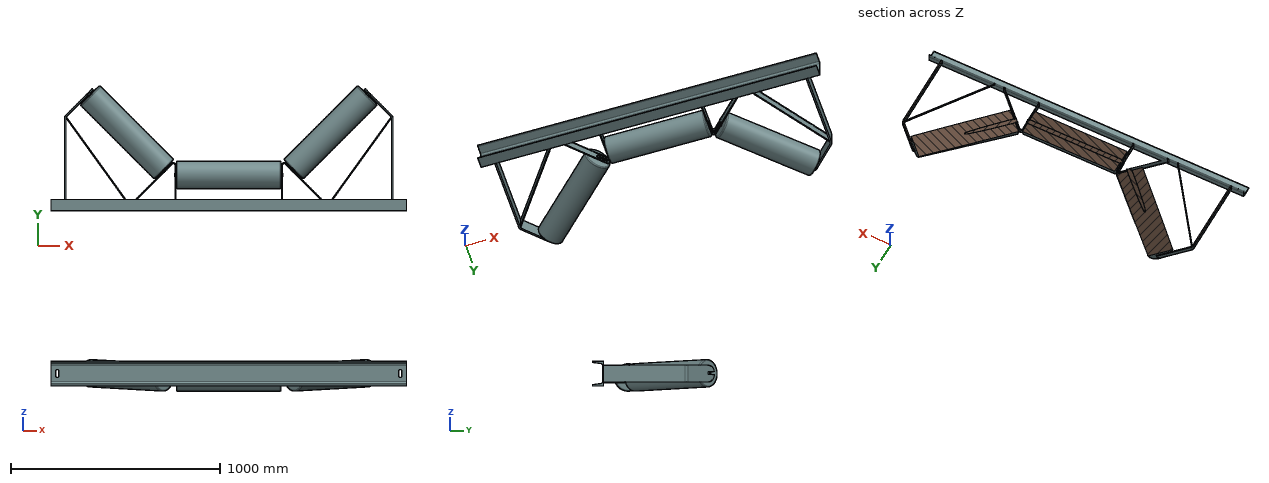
import cadquery as cq
import math

BEAM_LENGTH = 1700.0
BEAM_HEIGHT = 119.0
BEAM_DEPTH = 55.0
WEB_THICKNESS = 5.0
FLANGE_ROOT_THICKNESS = 14.0
FLANGE_TIP_THICKNESS = 7.0
FLANGE_TIP_RADIUS = 3.0
BEAM_FILLET = 8.0
MOUNTING_SLOT_WIDTH = 14.0
MOUNTING_SLOT_HEIGHT = 37.0
MOUNTING_SLOT_X = 820.0

ROLLER_DIAMETER = 133.0
ROLLER_LENGTH = 500.0
ROLLER_EDGE_RADIUS = 5.0
SHAFT_DIAMETER = 20.0
SHAFT_FLATS = 14.0
CENTER_ROLLER_Y = 117.0
CENTER_ROLLER_Z = -19.0
CENTER_SHAFT_OVERHANG = 8.0
WING_ROLLER_X = 486.0
WING_ROLLER_Y = 321.0
WING_ROLLER_Z = -8.0
WING_SHAFT_OVERHANG = 12.0
TROUGH_ANGLE = 45.0
FORWARD_TILT = 2.3

OUTER_HEIGHT = 80.0
OUTER_THICKNESS = 8.0
OUTER_FACE_X = 785.0
OUTER_BEND_Y = 395.0
OUTER_BEND_RADIUS = 20.0
OUTER_LEG_LENGTH = 187.0
TIP_RADIUS = 39.0

INNER_THICKNESS = 5.0
INNER_HEIGHT = 51.0
INNER_LEG_X = 255.0
INNER_BEND_Y = 187.0
INNER_BEND_RADIUS = 12.0

BRACE_THICKNESS = 5.0
BRACE_HEIGHT = 51.0
BRACE_TOP = (779.0, 395.0)
BRACE_FOOT_X = 493.0

WELD_Y = -WEB_THICKNESS / 2
SIDES = (-1, 1)


def strip(start, end, thickness, height):
    """Straight upright plate whose centre line runs from start to end in plan."""
    run = cq.Vector(end[0] - start[0], end[1] - start[1], 0)
    middle = ((start[0] + end[0]) / 2, (start[1] + end[1]) / 2, 0)
    plane = cq.Plane(origin=middle, xDir=run, normal=(0, 0, 1))
    return cq.Workplane(plane).box(run.Length, thickness, height)


def bent_plate(foot, bend, tip, thickness, height, outside_radius):
    """Plate folded once; foot, bend and tip are points of its centre line in plan."""
    foot, bend, tip = (cq.Vector(*point) for point in (foot, bend, tip))
    first = (bend - foot).normalized()
    second = (tip - bend).normalized()
    up = cq.Vector(0, 0, 1)
    first_offset = up.cross(first) * (thickness / 2)
    second_offset = up.cross(second) * (thickness / 2)
    miter_sum = first_offset + second_offset
    miter = miter_sum * (thickness**2 / 2 / miter_sum.dot(miter_sum))
    outline = [
        foot + first_offset,
        bend + miter,
        tip + second_offset,
        tip - second_offset,
        bend - miter,
        foot - first_offset,
    ]
    plate = cq.Workplane("XY").polyline([(p.x, p.y) for p in outline]).close()
    plate = plate.extrude(height / 2, both=True)
    turns_left = first.cross(second).z > 0
    inside = bend + miter if turns_left else bend - miter
    outside = bend - miter if turns_left else bend + miter
    plate = plate.edges(cq.selectors.NearestToPointSelector(inside.toTuple()))
    plate = plate.fillet(outside_radius - thickness)
    plate = plate.edges(cq.selectors.NearestToPointSelector(outside.toTuple()))
    return plate.fillet(outside_radius)


def wing_plane(side):
    """Plane at the middle of a wing roller, with its normal along the axis toward the outer end."""
    trough = math.radians(TROUGH_ANGLE)
    tilt = math.radians(FORWARD_TILT)
    axis = (
        side * math.cos(trough) * math.cos(tilt),
        math.sin(trough) * math.cos(tilt),
        math.sin(tilt),
    )
    across = (side * math.sin(trough), -math.cos(trough), 0)
    origin = (side * WING_ROLLER_X, WING_ROLLER_Y, WING_ROLLER_Z)
    return cq.Plane(origin=origin, xDir=across, normal=axis)


def center_plane():
    """Plane at the middle of the center roller, with its normal along X."""
    return cq.Plane(origin=(0, CENTER_ROLLER_Y, CENTER_ROLLER_Z), xDir=(0, 0, 1), normal=(1, 0, 0))


def make_roller(plane):
    """Roller with rounded end edges and a bore for its shaft."""
    inner_end = cq.Workplane(plane).workplane(offset=-ROLLER_LENGTH / 2)
    roller = inner_end.circle(ROLLER_DIAMETER / 2).extrude(ROLLER_LENGTH)
    roller = roller.edges("%CIRCLE").fillet(ROLLER_EDGE_RADIUS)
    return roller.cut(inner_end.circle(SHAFT_DIAMETER / 2).extrude(ROLLER_LENGTH))


def make_shaft(plane, overhang):
    """Round shaft with two flats on each end that stands out of the roller."""
    half_length = ROLLER_LENGTH / 2 + overhang
    shaft = cq.Workplane(plane).circle(SHAFT_DIAMETER / 2).extrude(half_length, both=True)
    flat_bar = cq.Workplane(plane).rect(SHAFT_DIAMETER, SHAFT_FLATS).extrude(half_length, both=True)
    middle = cq.Workplane(plane).circle(SHAFT_DIAMETER / 2).extrude(ROLLER_LENGTH / 2, both=True)
    return shaft.intersect(flat_bar).union(middle)


def make_beam():
    """Channel with tapered flanges and an upright mounting slot near each end."""
    back_z = BEAM_HEIGHT / 2
    root_z = back_z - FLANGE_ROOT_THICKNESS
    tip_z = back_z - FLANGE_TIP_THICKNESS
    beam = (
        cq.Workplane("YZ")
        .moveTo(0, -back_z)
        .lineTo(0, back_z)
        .lineTo(-BEAM_DEPTH, back_z)
        .lineTo(-BEAM_DEPTH, tip_z)
        .lineTo(-WEB_THICKNESS, root_z)
        .lineTo(-WEB_THICKNESS, -root_z)
        .lineTo(-BEAM_DEPTH, -tip_z)
        .lineTo(-BEAM_DEPTH, -back_z)
        .close()
        .extrude(BEAM_LENGTH / 2, both=True)
    )
    for flange in (-1, 1):
        corner = (0, -WEB_THICKNESS, flange * root_z)
        beam = beam.edges(cq.selectors.NearestToPointSelector(corner)).fillet(BEAM_FILLET)
        lip = (0, -BEAM_DEPTH, flange * tip_z)
        beam = beam.edges(cq.selectors.NearestToPointSelector(lip)).fillet(FLANGE_TIP_RADIUS)
    slots = (
        cq.Workplane("XZ")
        .pushPoints([(side * MOUNTING_SLOT_X, 0) for side in SIDES])
        .slot2D(MOUNTING_SLOT_HEIGHT, MOUNTING_SLOT_WIDTH, 90)
        .extrude(BEAM_DEPTH)
    )
    return beam.cut(slots)


def make_outer_bracket(side):
    """Bent plate whose leaning leg ends in a rounded tip."""
    trough = math.radians(TROUGH_ANGLE)
    leg_x = OUTER_FACE_X - OUTER_THICKNESS / 2
    tip_x = leg_x - OUTER_LEG_LENGTH * math.sin(trough)
    tip_y = OUTER_BEND_Y + OUTER_LEG_LENGTH * math.cos(trough)
    bracket = bent_plate(
        (side * leg_x, WELD_Y),
        (side * leg_x, OUTER_BEND_Y),
        (side * tip_x, tip_y),
        OUTER_THICKNESS,
        OUTER_HEIGHT,
        OUTER_BEND_RADIUS,
    )
    corner_edges = cq.selectors.BoxSelector(
        (side * tip_x - OUTER_THICKNESS, tip_y - OUTER_THICKNESS, -OUTER_HEIGHT),
        (side * tip_x + OUTER_THICKNESS, tip_y + OUTER_THICKNESS, OUTER_HEIGHT),
    )
    return bracket.edges(corner_edges).edges("#Z").fillet(TIP_RADIUS)


def make_inner_bracket(side):
    """Bent plate level with the center roller; both of its legs stand on the beam."""
    tip_x = INNER_LEG_X + (INNER_BEND_Y - WELD_Y) * math.tan(math.radians(TROUGH_ANGLE))
    return bent_plate(
        (side * INNER_LEG_X, WELD_Y),
        (side * INNER_LEG_X, INNER_BEND_Y),
        (side * tip_x, WELD_Y),
        INNER_THICKNESS,
        INNER_HEIGHT,
        INNER_BEND_RADIUS,
    ).translate((0, 0, CENTER_ROLLER_Z))


def make_brace(side):
    """Flat bar from the bend of an outer bracket down to the beam."""
    top = (side * BRACE_TOP[0], BRACE_TOP[1])
    foot = (side * BRACE_FOOT_X, WELD_Y)
    return strip(top, foot, BRACE_THICKNESS, BRACE_HEIGHT)


def tip_slot(side):
    """Slot that lets the flats of a wing shaft in from the tip of an outer bracket."""
    plane = wing_plane(side)
    return (
        cq.Workplane(plane)
        .workplane(offset=ROLLER_LENGTH / 2)
        .center(-OUTER_HEIGHT / 2, 0)
        .rect(OUTER_HEIGHT, SHAFT_FLATS)
        .extrude(2 * WING_SHAFT_OVERHANG)
    )


def bend_slot(side):
    """Slot through the bend of an inner bracket, from the center shaft over to the wing shaft."""
    start_x = INNER_LEG_X - INNER_THICKNESS
    reach = ROLLER_LENGTH / 2 + WING_SHAFT_OVERHANG
    end_x = WING_ROLLER_X - reach * math.cos(math.radians(TROUGH_ANGLE))
    slot = cq.Workplane("XY").box(
        end_x - start_x, INNER_BEND_Y - CENTER_ROLLER_Y, SHAFT_FLATS, centered=(True, False, True)
    )
    return slot.translate((side * (start_x + end_x) / 2, CENTER_ROLLER_Y, CENTER_ROLLER_Z))


rollers = [make_roller(center_plane())]
shafts = [make_shaft(center_plane(), CENTER_SHAFT_OVERHANG)]
for side in SIDES:
    rollers.append(make_roller(wing_plane(side)))
    shafts.append(make_shaft(wing_plane(side), WING_SHAFT_OVERHANG))

frame = make_beam()
for side in SIDES:
    outer_bracket = make_outer_bracket(side).cut(tip_slot(side))
    frame = frame.union(outer_bracket)
    frame = frame.union(make_inner_bracket(side).cut(bend_slot(side)))
    frame = frame.union(make_brace(side))
for shaft in shafts:
    frame = frame.cut(shaft)

bodies = [frame, *rollers, *shafts]
result = cq.Compound.makeCompound([body.val() for body in bodies])